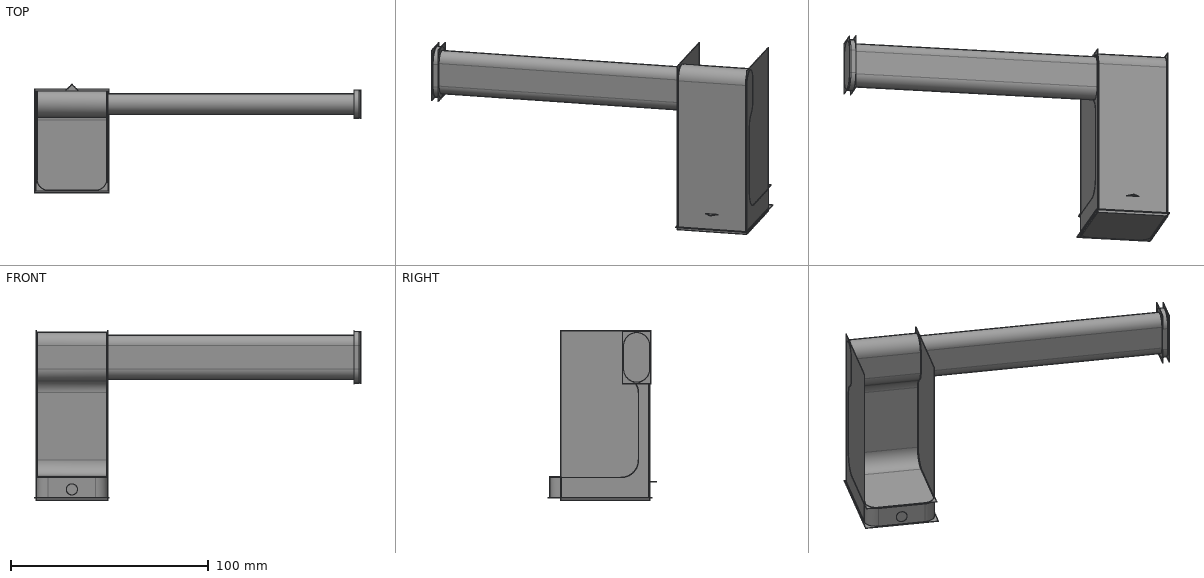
import cadquery as cq
import math


SHEET = 0.2
EDGE_CHAMFER = 0.7

BRACKET_WIDTH = 36.3
BASE_Z = 1.5
SHELF_TOP_Z = 12.2
SHELF_DEPTH = 50.8
SHELF_CORNER_R = 6.1
NECK_DEPTH = 6.5
NECK_FILLET_R = 8.2
HEAD_R = 6.8
THROAT_R = 6.6
AXIS_Z = 72.4
AXIS_Y = -HEAD_R
HALF_STRAIGHT = 6.0
TAB_REACH = 3.3
TAB_Z = 9.4

PIN_R = 2.8
PIN_Z = 5.6
PIN_LENGTH = 3.3

CHEEK_HEIGHT = 85.9
CHEEK_DEPTH = 45.2
BASE_SIDE_MARGIN = 0.7
BASE_REAR_MARGIN = 1.0
BASE_FRONT_MARGIN = 0.8

OVERALL_LENGTH = 164.8
CAP_END_X = OVERALL_LENGTH - BASE_SIDE_MARGIN
CAP_LENGTH = 3.5
CAP_START_X = CAP_END_X - CAP_LENGTH
BAR_R = 5.3
CAP_R = 7.3
CAP_CHAMFER = 0.8
FLANGE_MARGIN = 0.3
CENTRE_X = BRACKET_WIDTH / 2


def box(x_range, y_range, z_range):
    """Axis-aligned block between pairs of limits."""
    size = [high - low for low, high in (x_range, y_range, z_range)]
    corner = (x_range[0], y_range[0], z_range[0])
    return cq.Workplane("XY").box(*size, centered=False).translate(corner)


def oblong(radius, start_x, end_x):
    """Upright oblong prism along X, centred on the bar axis."""
    return (
        cq.Workplane("YZ", origin=(start_x, AXIS_Y, AXIS_Z))
        .slot2D(2 * (HALF_STRAIGHT + radius), 2 * radius, 90)
        .extrude(end_x - start_x)
    )


def bracket_profile():
    """Side outline in (Y, Z): rear wall, round head, S-curve, neck, filleted shelf."""
    head_top = AXIS_Z + HALF_STRAIGHT
    head_bottom = AXIS_Z - HALF_STRAIGHT
    head_front = -2 * HEAD_R
    centre_gap = HEAD_R + THROAT_R
    centre_dy = centre_gap - (2 * HEAD_R - NECK_DEPTH)
    throat_drop = math.sqrt(centre_gap**2 - centre_dy**2)
    throat_angle = math.atan2(throat_drop, centre_dy)
    throat_y = -NECK_DEPTH - THROAT_R
    throat_z = head_bottom - throat_drop

    def head_point(angle):
        return (AXIS_Y - HEAD_R * math.cos(angle), head_bottom - HEAD_R * math.sin(angle))

    def throat_point(angle):
        return (throat_y + THROAT_R * math.cos(angle), throat_z + THROAT_R * math.sin(angle))

    fillet_y = -NECK_DEPTH - NECK_FILLET_R
    fillet_z = SHELF_TOP_Z + NECK_FILLET_R
    fillet_middle = NECK_FILLET_R * math.sqrt(0.5)
    return (
        cq.Workplane("YZ")
        .moveTo(0, BASE_Z)
        .lineTo(0, head_top)
        .threePointArc((AXIS_Y, head_top + HEAD_R), (head_front, head_top))
        .lineTo(head_front, head_bottom)
        .threePointArc(head_point(throat_angle / 2), head_point(throat_angle))
        .threePointArc(throat_point(throat_angle / 2), throat_point(0))
        .lineTo(-NECK_DEPTH, fillet_z)
        .threePointArc((fillet_y + fillet_middle, fillet_z - fillet_middle), (fillet_y, SHELF_TOP_Z))
        .lineTo(-SHELF_DEPTH, SHELF_TOP_Z)
        .lineTo(-SHELF_DEPTH, BASE_Z)
        .close()
    )


def make_bracket():
    body = bracket_profile().extrude(BRACKET_WIDTH)
    body = body.edges("|Z and <Y").fillet(SHELF_CORNER_R)
    rims = body.faces("<X or >X").edges("not |Z").edges("not <Z").vals()
    body = body.newObject(rims).chamfer(EDGE_CHAMFER)

    shelf_front = (-SHELF_DEPTH, -CHEEK_DEPTH)
    corner_sheet = box((0, BRACKET_WIDTH), shelf_front, (SHELF_TOP_Z - SHEET, SHELF_TOP_Z))
    skirt = box((SHEET, BRACKET_WIDTH - SHEET), (-SHEET, 0), (0, BASE_Z))
    tab = (
        cq.Workplane("XY", origin=(CENTRE_X, 0, TAB_Z))
        .moveTo(-TAB_REACH, 0)
        .lineTo(-TAB_REACH, -SHEET)
        .lineTo(TAB_REACH, -SHEET)
        .lineTo(TAB_REACH, 0)
        .lineTo(0, TAB_REACH)
        .close()
        .extrude(SHEET)
    )
    return body.union(corner_sheet).union(skirt).union(tab)


def make_pin():
    """Round pin, flush with the front of the shelf."""
    return (
        cq.Workplane("XZ", origin=(CENTRE_X, -SHELF_DEPTH, PIN_Z))
        .circle(PIN_R)
        .extrude(-PIN_LENGTH)
    )


def make_cheek(outer_x):
    """Thin upright plate with a window that the end of the bracket fills."""
    plate = box((outer_x, outer_x + SHEET), (-CHEEK_DEPTH, 0), (0, CHEEK_HEIGHT))
    return plate.cut(bracket)


def make_base():
    """Thin plate under the bracket, slit for the skirt and cheeks that pass through it."""
    plate = box(
        (-BASE_SIDE_MARGIN, BRACKET_WIDTH + BASE_SIDE_MARGIN),
        (-SHELF_DEPTH - BASE_FRONT_MARGIN, BASE_REAR_MARGIN),
        (BASE_Z - SHEET, BASE_Z),
    )
    for other in [bracket, *cheeks]:
        plate = plate.cut(other)
    return plate


def make_cap():
    """Oblong cap with a thin rectangular flange at each end."""
    cap = oblong(CAP_R, CAP_START_X, CAP_END_X).faces(">X").chamfer(CAP_CHAMFER)
    for start_x, margin in ((CAP_START_X, FLANGE_MARGIN), (CAP_END_X - SHEET, 0)):
        half_height = HALF_STRAIGHT + CAP_R + margin
        flange = box(
            (start_x, start_x + SHEET),
            (AXIS_Y - CAP_R, AXIS_Y + CAP_R),
            (AXIS_Z - half_height, AXIS_Z + half_height),
        )
        cap = cap.union(flange)
    return cap


pin = make_pin()
bracket = make_bracket().cut(pin)
cheeks = [make_cheek(outer_x) for outer_x in (0, BRACKET_WIDTH - SHEET)]
base = make_base()
bar = oblong(BAR_R, BRACKET_WIDTH, CAP_START_X)
cap = make_cap()

bodies = [bracket, pin, *cheeks, base, bar, cap]
result = cq.Compound.makeCompound([body.solids().val() for body in bodies])